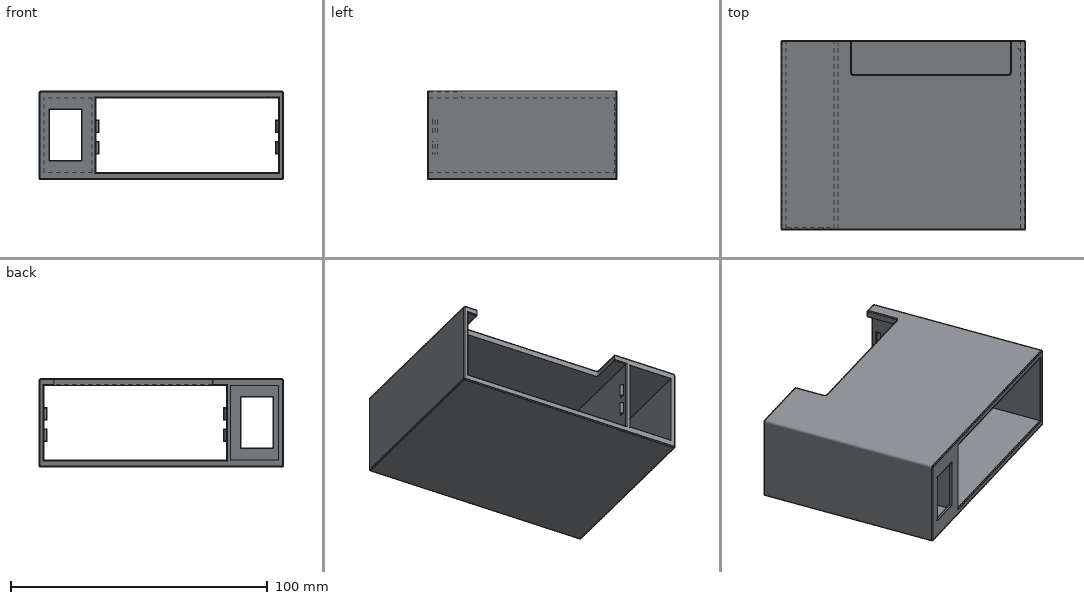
import cadquery as cq

LENGTH = 95.3
DEPTH = 74.0
HEIGHT = 34.6
SIDE_WALL = 2.0
FLOOR_WALL = 2.8
TOP_FILLET = 1.05
EDGE_CHAMFER = 0.4
CHAMFER_ANGLE = 45

BAY_LEFT = -25.35

PARTITION = 1.7
FRONT_PLATE = 1.0
WINDOW_WIDTH = 12.6
WINDOW_HEIGHT = 20.0
WINDOW_X = -37.4
WINDOW_Z = 0.1

NOTCH_LEFT = -20.2
NOTCH_RIGHT = 41.7
NOTCH_DEPTH = 13.3
NOTCH_RADIUS = 1.0

CATCH_HEIGHT = 4.9
CATCH_REACH = 1.05
CATCH_PITCH = 8.4
CATCH_MID_Z = -0.7
CATCH_BACK_GAP = 1.9

bay_right = LENGTH / 2 - SIDE_WALL
inner_height = HEIGHT - 2 * FLOOR_WALL
front_y = -DEPTH / 2
back_y = DEPTH / 2


def block(x_min, x_max, y_min, y_max, height, mid_z=0.0):
    """Box given by its X and Y limits, with its height centred on mid_z."""
    size = (x_max - x_min, y_max - y_min, height)
    centre = ((x_min + x_max) / 2, (y_min + y_max) / 2, mid_z)
    return cq.Workplane("XY").box(*size).translate(centre)


def outer_body():
    """Solid box with rounded upper side edges; its lower, front and back edges are chamfered."""
    body = cq.Workplane("XY").box(LENGTH, DEPTH, HEIGHT)
    body = body.faces(">Z").edges("|Y").fillet(TOP_FILLET)
    return body.edges("<Y or >Y or <Z").chamfer(EDGE_CHAMFER)


def bay_cut():
    """Straight passage that flares by a chamfer at both mouths."""
    passage = block(BAY_LEFT, bay_right, front_y, back_y, inner_height)
    width = bay_right - BAY_LEFT
    mid_x = (BAY_LEFT + bay_right) / 2
    flare = (
        cq.Workplane("XZ", origin=(mid_x, front_y, 0))
        .rect(width + 2 * EDGE_CHAMFER, inner_height + 2 * EDGE_CHAMFER)
        .workplane(offset=-EDGE_CHAMFER)
        .rect(width, inner_height)
        .loft(ruled=True)
    )
    return passage.union(flare).union(flare.mirror("XZ"))


def compartment_cut():
    """Switch compartment and the window through its front plate."""
    x_min = -LENGTH / 2 + SIDE_WALL
    x_max = BAY_LEFT - PARTITION
    inner_front = front_y + FRONT_PLATE
    room = block(x_min, x_max, inner_front, back_y, inner_height)
    window_left = WINDOW_X - WINDOW_WIDTH / 2
    window_right = WINDOW_X + WINDOW_WIDTH / 2
    window = block(window_left, window_right, front_y, inner_front, WINDOW_HEIGHT, WINDOW_Z)
    return room.union(window)


def notch_cut():
    """Notch through the top wall, with rounded inner corners and a chamfered upper edge."""
    width = NOTCH_RIGHT - NOTCH_LEFT
    outline = (
        cq.Sketch()
        .rect(width, 2 * NOTCH_DEPTH)
        .vertices()
        .fillet(NOTCH_RADIUS)
    )
    mid_x = (NOTCH_LEFT + NOTCH_RIGHT) / 2
    top = cq.Workplane("XY", origin=(mid_x, back_y, HEIGHT / 2))
    straight = top.placeSketch(outline).extrude(-FLOOR_WALL)
    lip = (
        top.workplane(offset=-EDGE_CHAMFER)
        .placeSketch(outline)
        .extrude(EDGE_CHAMFER, taper=-CHAMFER_ANGLE)
    )
    return straight.union(lip)


def catch(wall_x, inward, mid_z):
    """Triangular ridge on a bay wall, with 45 degree flanks; inward is +1 or -1 along X."""
    end_y = back_y - CATCH_BACK_GAP
    return (
        cq.Workplane("XY", origin=(0, 0, mid_z - CATCH_HEIGHT / 2))
        .moveTo(wall_x, end_y)
        .lineTo(wall_x + inward * CATCH_REACH, end_y - CATCH_REACH)
        .lineTo(wall_x, end_y - 2 * CATCH_REACH)
        .close()
        .extrude(CATCH_HEIGHT)
    )


result = outer_body().cut(bay_cut()).cut(compartment_cut()).cut(notch_cut())
for wall_x, inward in ((BAY_LEFT, 1), (bay_right, -1)):
    for step in (-0.5, 0.5):
        result = result.union(catch(wall_x, inward, CATCH_MID_Z + step * CATCH_PITCH))